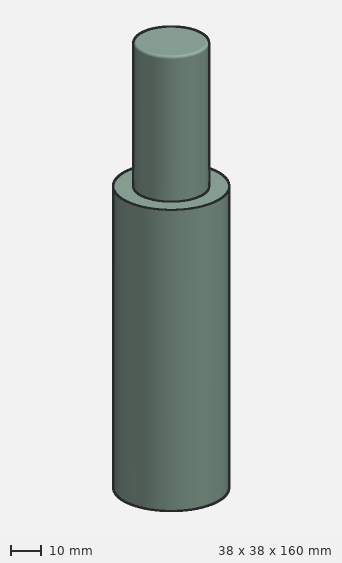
import cadquery as cq

total_height = 160.0
body_diameter = 38.0
body_height = 108.0
pin_diameter = 25.0
tip_fillet_radius = 1.0

pin_height = total_height - body_height

body = cq.Workplane("XY").circle(body_diameter / 2).extrude(body_height)

pin = (
    cq.Workplane("XY")
    .workplane(offset=body_height)
    .circle(pin_diameter / 2)
    .extrude(pin_height)
    .faces(">Z")
    .edges()
    .fillet(tip_fillet_radius)
)

result = body.union(pin)